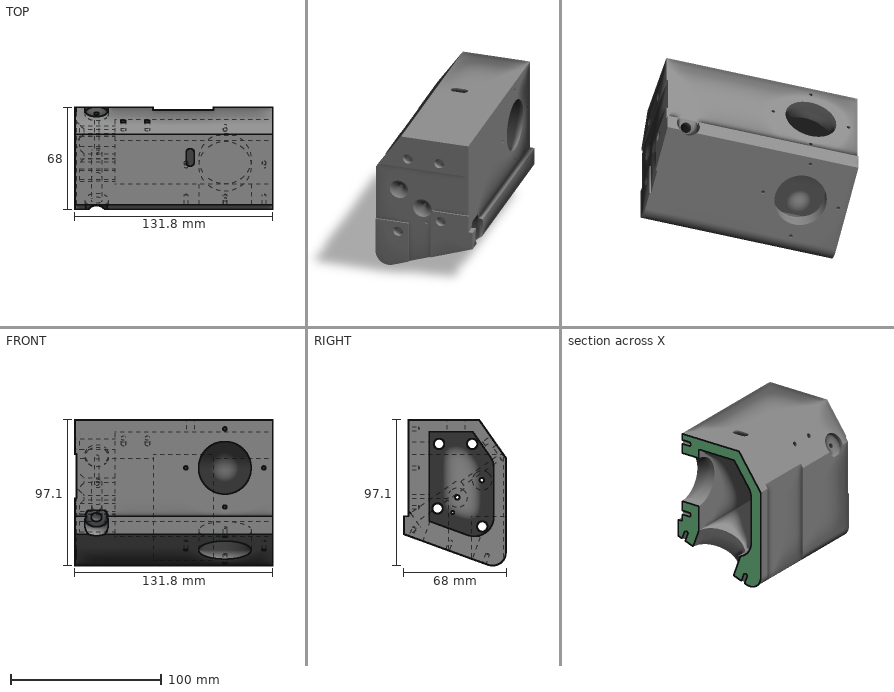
import cadquery as cq
import math

length = 131.8
depth = 68.0
height = 97.1

ledge_depth = 3.0
ledge_top = 33.1
bottom_slope = 20.0
bottom_radius = 9.0
chamfer_angle = 55.0
chamfer_run = 17.9

end_wall = 26.4
front_wall = 14.0
thin_wall = 8.0
floor_thickness = 14.0
cavity_radius = 13.2

recess_depth = 1.0
recess_top = 74.3
back_pad_y = 44.9
front_pad_y = 29.5
front_pad_top = 44.9

tapped_places = [(45.5, 81.0), (23.5, 81.0), (22.4, 38.1), (52.2, 26.1)]
relief_diameter = 7.1
tapped_diameter = 6.7
tapped_depth = 3.0
cone_places = [(51.9, 56.9), (35.6, 45.5)]
cone_diameter = 12.9
cone_hole_diameter = 2.9
cone_half_angle = 45.0
small_hole_place = (32.5, 35.3)
small_hole_diameter = 2.0

bore_diameter = 35.0
bore_x = 99.7
front_bore_z = 65.1
bottom_bore_y = 28.9
bottom_bore_depth = 15.8
screw_circle_radius = 26.0
screw_diameter = 2.5
screw_depth = 6.6
screw_tip_half_angle = 60.0
screw_count = 4

clamp_x = 14.4
clamp_y = 6.3
clamp_z = 32.3
clamp_head_diameter = 15.8
clamp_clearance_diameter = 7.1
clamp_clearance_depth = 39.5
clamp_thread_diameter = 3.3
chamfer_seat_depth = 3.0

chamfer_hole_xs = [32.2, 48.1]
chamfer_hole_y = 58.5
chamfer_hole_diameter = 3.3
chamfer_hole_depth = 6.6
slot_x = 76.7
slot_y = 34.5
slot_length = 11.7
slot_width = 5.4
groove_start = 52.0
groove_end = 92.1
groove_depth = 1.8

slope = math.radians(bottom_slope)
chamfer = math.radians(chamfer_angle)
chamfer_bottom = height - chamfer_run * math.tan(chamfer)
ledge_bottom = (
    bottom_radius * (1 - 1 / math.cos(slope))
    + (depth - bottom_radius) * math.tan(slope)
)
slope_normal = cq.Vector(0, -math.sin(slope), -math.cos(slope))
chamfer_normal = cq.Vector(0, math.sin(chamfer), math.cos(chamfer))
x_axis = cq.Vector(1, 0, 0)


def bottom_z(y):
    """Height of the sloping bottom at depth y."""
    return ledge_bottom - y * math.tan(slope)


def chamfer_z(y):
    """Height of the rear chamfer at depth y."""
    return chamfer_bottom + (depth - y) * math.tan(chamfer)


def drill(start, direction, diameter, distance):
    """Cylinder running from start along direction."""
    return cq.Workplane(obj=cq.Solid.makeCylinder(diameter / 2, distance, start, direction))


def section_prism(points, start, end):
    """Prism of a YZ outline between two X positions."""
    return (
        cq.Workplane("YZ", origin=(start, 0, 0))
        .polyline(points)
        .close()
        .extrude(end - start)
    )


def make_body():
    outline = [
        (0, ledge_bottom),
        (depth, bottom_z(depth)),
        (depth, chamfer_bottom),
        (depth - chamfer_run, height),
        (ledge_depth, height),
        (ledge_depth, ledge_top),
        (0, ledge_top),
    ]
    body = section_prism(outline, 0, length)
    rear_edge = cq.selectors.NearestToPointSelector((length / 2, depth, bottom_z(depth)))
    return body.edges(rear_edge).fillet(bottom_radius)


def make_cavity():
    front = ledge_depth + front_wall
    back = depth - thin_wall
    top = height - thin_wall
    floor_rise = floor_thickness / math.cos(slope)
    roof_drop = thin_wall / math.cos(chamfer)
    roof_corner_z = chamfer_z(back) - roof_drop
    roof_corner_y = back - (top - roof_corner_z) / math.tan(chamfer)
    outline = [
        (front, bottom_z(front) + floor_rise),
        (back, bottom_z(back) + floor_rise),
        (back, roof_corner_z),
        (roof_corner_y, top),
        (front, top),
    ]
    cavity = section_prism(outline, end_wall, length)
    middle_x = (end_wall + length) / 2
    for corner_z in (roof_corner_z, bottom_z(back) + floor_rise):
        rear_edge = cq.selectors.NearestToPointSelector((middle_x, back, corner_z))
        cavity = cavity.edges(rear_edge).fillet(cavity_radius)
    return cavity


def make_end_recess():
    outline = [
        (0, recess_top),
        (depth, recess_top),
        (depth, ledge_top),
        (back_pad_y, ledge_top),
        (back_pad_y, 0),
        (front_pad_y, 0),
        (front_pad_y, front_pad_top),
        (0, front_pad_top),
    ]
    return section_prism(outline, 0, recess_depth)


def make_tapped_hole(y, z):
    entry = drill(cq.Vector(0, y, z), x_axis, tapped_diameter, tapped_depth)
    relief_start = cq.Vector(tapped_depth, y, z)
    return entry.union(drill(relief_start, x_axis, relief_diameter, end_wall - tapped_depth))


def make_cone_hole(y, z):
    spread = math.tan(math.radians(cone_half_angle))
    mouth_radius = cone_diameter / 2 + recess_depth * spread
    tip_radius = cone_hole_diameter / 2
    cone_depth = (mouth_radius - tip_radius) / spread
    start = cq.Vector(0, y, z)
    cone = cq.Solid.makeCone(mouth_radius, tip_radius, cone_depth, start, x_axis)
    return cq.Workplane(obj=cone).union(drill(start, x_axis, cone_hole_diameter, end_wall))


def make_screw_hole(start, inward):
    """Blind hole with a conical drill tip."""
    tip_radius = screw_diameter / 2
    tip_depth = tip_radius / math.tan(math.radians(screw_tip_half_angle))
    tip = cq.Solid.makeCone(tip_radius, 0, tip_depth, start + inward * screw_depth, inward)
    return drill(start, inward, screw_diameter, screw_depth).union(cq.Workplane(obj=tip))


def make_bore(mouth, outward, bore_depth):
    """Large bore and its ring of blind screw holes, drilled against the outward direction."""
    inward = outward * -1
    side = x_axis.cross(outward)
    bore = drill(mouth, inward, bore_diameter, bore_depth)
    for index in range(screw_count):
        turn = 2 * math.pi * index / screw_count
        offset = x_axis * math.cos(turn) + side * math.sin(turn)
        bore = bore.union(make_screw_hole(mouth + offset * screw_circle_radius, inward))
    return bore


def make_clamp_hole():
    seat = cq.Vector(clamp_x, clamp_y, clamp_z)
    chamfer_point = cq.Vector(0, depth, chamfer_bottom)
    reach = (chamfer_point - seat).dot(chamfer_normal)
    rear_seat = seat + chamfer_normal * (reach - chamfer_seat_depth)
    head = drill(seat, chamfer_normal * -1, clamp_head_diameter, depth)
    clearance = drill(seat, chamfer_normal, clamp_clearance_diameter, clamp_clearance_depth)
    thread = drill(seat, chamfer_normal, clamp_thread_diameter, reach)
    rear_head = drill(rear_seat, chamfer_normal, clamp_head_diameter, depth)
    return head.union(clearance).union(thread).union(rear_head)


def make_slot():
    return (
        cq.Workplane("XY", origin=(slot_x, slot_y, height - 2 * thin_wall))
        .slot2D(slot_length, slot_width, 90)
        .extrude(2 * thin_wall)
    )


def make_back_groove():
    return cq.Workplane("XY").box(
        groove_end - groove_start, groove_depth, height, centered=False
    ).translate((groove_start, depth - groove_depth, 0))


front_mouth = cq.Vector(bore_x, ledge_depth, front_bore_z)
bottom_mouth = cq.Vector(bore_x, bottom_bore_y, bottom_z(bottom_bore_y))

result = make_body().cut(make_cavity()).cut(make_end_recess())
for place in tapped_places:
    result = result.cut(make_tapped_hole(*place))
for place in cone_places:
    result = result.cut(make_cone_hole(*place))
result = result.cut(drill(cq.Vector(0, *small_hole_place), x_axis, small_hole_diameter, end_wall))
result = result.cut(make_bore(front_mouth, cq.Vector(0, -1, 0), front_wall))
result = result.cut(make_bore(bottom_mouth, slope_normal, bottom_bore_depth))
result = result.cut(make_clamp_hole())
for hole_x in chamfer_hole_xs:
    hole_start = cq.Vector(hole_x, chamfer_hole_y, chamfer_z(chamfer_hole_y))
    result = result.cut(drill(hole_start, chamfer_normal * -1, chamfer_hole_diameter, chamfer_hole_depth))
result = result.cut(make_slot()).cut(make_back_groove())